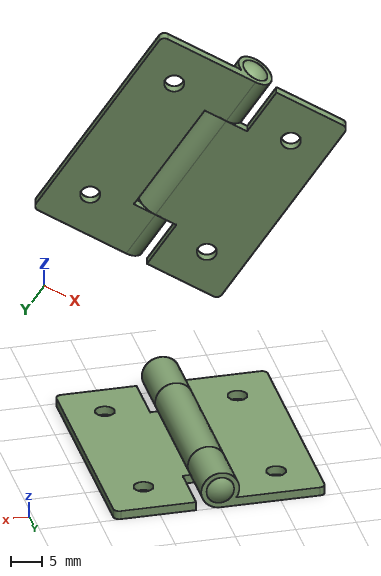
import cadquery as cq

hinge_width = 35.0
leaf_length = 40.0
leaf_thickness = 1.5
corner_radius = 1.0

knuckle_diameter = 6.3
pin_diameter = 4.58
pin_length = 41.6
middle_knuckle_length = 21.9
clearance_edge = 4.0

screw_hole_diameter = 3.2
screw_hole_offset = 11.0
screw_hole_spacing = 25.95

leaf_width = hinge_width / 2
knuckle_radius = knuckle_diameter / 2
pin_radius = pin_diameter / 2
axis_height = knuckle_radius
end_knuckle_length = (leaf_length - middle_knuckle_length) / 2
end_knuckle_center = (leaf_length - end_knuckle_length) / 2


def cylinder_on_axis(radius, length, center_y=0):
    """Cylinder around the hinge axis, centred at center_y."""
    return (
        cq.Workplane("XZ", origin=(0, center_y, axis_height))
        .circle(radius)
        .extrude(length / 2, both=True)
    )


def make_leaf(side, knuckles):
    """Leaf on one side (-1 or +1) of the axis; knuckles lists (center_y, length) pairs."""
    plate_width = leaf_width - clearance_edge
    outer_face = "<X" if side < 0 else ">X"
    leaf = (
        cq.Workplane("XY")
        .center(side * (clearance_edge + leaf_width) / 2, 0)
        .rect(plate_width, leaf_length)
        .extrude(leaf_thickness)
        .faces(outer_face)
        .edges("|Z")
        .fillet(corner_radius)
    )

    for center_y, length in knuckles:
        tongue = (
            cq.Workplane("XY")
            .center(side * clearance_edge / 2, center_y)
            .rect(clearance_edge, length)
            .extrude(leaf_thickness)
        )
        leaf = leaf.union(tongue).union(cylinder_on_axis(knuckle_radius, length, center_y))

    leaf = leaf.cut(cylinder_on_axis(pin_radius, leaf_length))
    screw_holes = (
        cq.Workplane("XY")
        .center(side * screw_hole_offset, 0)
        .rarray(0.4, screw_hole_spacing, 1, 2)
        .circle(screw_hole_diameter / 2)
        .extrude(leaf_thickness)
    )
    return leaf.cut(screw_holes)


def make_pin():
    """Pin that fills the bore and ends in a shallow dome beyond each leaf end."""
    half_shank = leaf_length / 2
    half_pin = pin_length / 2
    dome_height = half_pin - half_shank
    dome_sphere_radius = (pin_radius**2 + dome_height**2) / (2 * dome_height)
    dome_center = half_pin - dome_sphere_radius
    arc_y = half_shank + dome_height / 2
    arc_x = (dome_sphere_radius**2 - (arc_y - dome_center)**2) ** 0.5
    return (
        cq.Workplane("XY", origin=(0, 0, axis_height))
        .moveTo(0, -half_pin)
        .threePointArc((arc_x, -arc_y), (pin_radius, -half_shank))
        .lineTo(pin_radius, half_shank)
        .threePointArc((arc_x, arc_y), (0, half_pin))
        .close()
        .revolve(360, (0, 0, 0), (0, 1, 0))
    )


end_knuckles = [(-end_knuckle_center, end_knuckle_length), (end_knuckle_center, end_knuckle_length)]
outer_leaf = make_leaf(-1, end_knuckles)
inner_leaf = make_leaf(1, [(0, middle_knuckle_length)])
pin = make_pin()

result = cq.Compound.makeCompound([outer_leaf.val(), inner_leaf.val(), pin.val()])